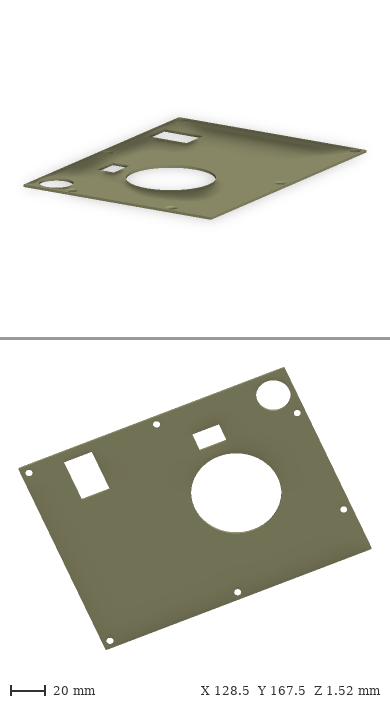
import cadquery as cq

plate_width = 128.5
plate_length = 167.5
plate_thickness = 1.52

screw_top_diameter = 7.0
screw_bottom_diameter = 4.0
screw_edge_inset = 4.7
middle_screw_y = -1.3
bottom_screw_spacing = 68.3

large_opening_diameter = 52.3
large_opening_center = (0, -26.0)
small_opening_diameter = 20.0
small_opening_center = (-50.1, -70.9)

upper_window_size = (26.6, 17.8)
upper_window_center = (-44.5, 49.0)
lower_window_size = (11.5, 17.1)
lower_window_center = (-39.5, large_opening_center[1])


def round_cutter(center, diameter):
    """Cylinder through the plate thickness."""
    return cq.Workplane("XY").center(*center).circle(diameter / 2).extrude(plate_thickness)


def window_cutter(center, size):
    """Rectangular block through the plate thickness."""
    return cq.Workplane("XY").center(*center).rect(*size).extrude(plate_thickness)


def screw_cutter(center):
    """Cone widening from the underside to the top face."""
    cone = cq.Solid.makeCone(screw_bottom_diameter / 2, screw_top_diameter / 2, plate_thickness)
    return cq.Workplane("XY").newObject([cone]).translate((*center, 0))


side_screw_x = plate_width / 2 - screw_edge_inset
end_screw_y = plate_length / 2 - screw_edge_inset
screw_centers = []
for side in (-1, 1):
    screw_centers.append((side * side_screw_x, end_screw_y))
    screw_centers.append((side * side_screw_x, middle_screw_y))
    screw_centers.append((side * bottom_screw_spacing / 2, -end_screw_y))

plate = cq.Workplane("XY").box(
    plate_width, plate_length, plate_thickness, centered=(True, True, False)
)
plate = plate.cut(round_cutter(large_opening_center, large_opening_diameter))
plate = plate.cut(round_cutter(small_opening_center, small_opening_diameter))
plate = plate.cut(window_cutter(upper_window_center, upper_window_size))
plate = plate.cut(window_cutter(lower_window_center, lower_window_size))
for screw_center in screw_centers:
    plate = plate.cut(screw_cutter(screw_center))

result = plate